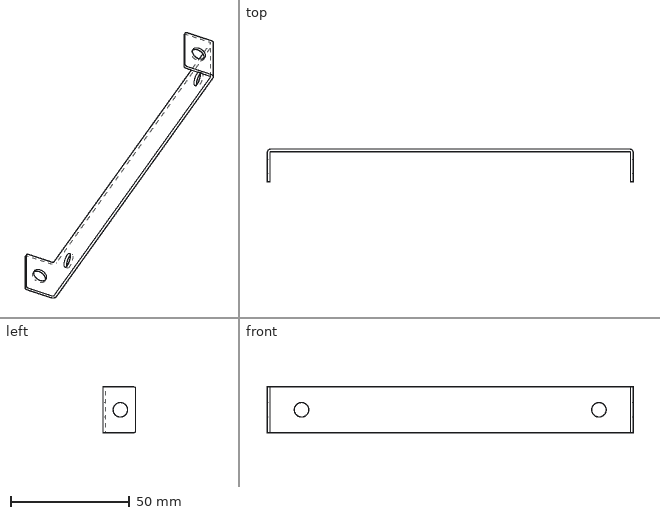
import cadquery as cq

length = 155.1
depth = 14.0
height = 19.5

thickness = 1.2
outer_bend_radius = 1.7
inner_bend_radius = outer_bend_radius - thickness

flange_corner_radius = 1.0

hole_diameter = 6.0
web_hole_spacing = 126.0
flange_hole_from_back = 7.5

web_middle_y = -thickness / 2


def make_channel():
    """U-shaped strip, open toward -Y, with rounded bends."""
    outer = (
        cq.Workplane("XY")
        .box(length, depth, height, centered=(True, False, True))
        .translate((0, -depth, 0))
        .edges("|Z and >Y")
        .fillet(outer_bend_radius)
    )
    inner = (
        cq.Workplane("XY")
        .box(length - 2 * thickness, depth, height, centered=(True, False, True))
        .translate((0, -depth - thickness, 0))
        .edges("|Z and >Y")
        .fillet(inner_bend_radius)
    )
    return outer.cut(inner).edges("|X and <Y").fillet(flange_corner_radius)


def make_web_holes():
    """Pair of holes along Y through the web."""
    return (
        cq.Workplane("XZ", origin=(0, web_middle_y, 0))
        .rarray(web_hole_spacing, 1.5, 2, 1)
        .circle(hole_diameter / 2)
        .extrude(thickness, both=True)
    )


def make_flange_holes():
    """One cylinder along X that pierces both flanges."""
    return (
        cq.Workplane("YZ", origin=(0, -flange_hole_from_back, 0))
        .circle(hole_diameter / 2)
        .extrude(length, both=True)
    )


result = make_channel().cut(make_web_holes()).cut(make_flange_holes())